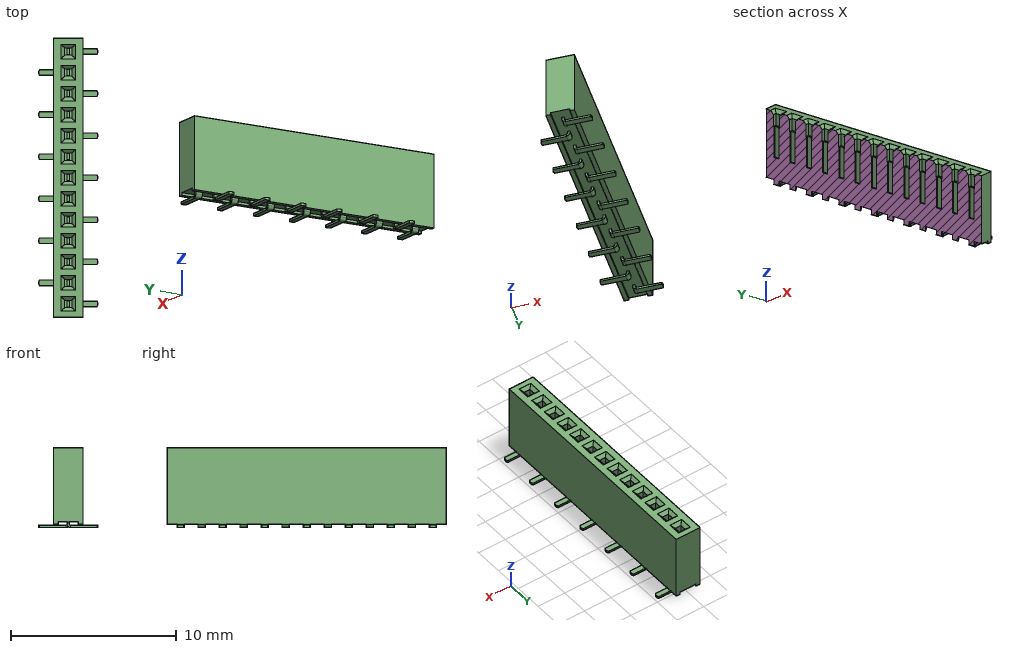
import cadquery as cq
import math

pin_count = 13
pitch = 1.27

tail_span = 3.58
body_length = 16.86
total_height = 4.83

body_width = 1.8
body_bottom = 0.2
channel_width = 1.2
channel_height = 0.16
channel_top = body_bottom + channel_height

socket_mouth = 0.87
socket_size = 0.43
funnel_depth = (socket_mouth - socket_size) / 2
tine_depth = 1.0
slot_depth = 3.0

sheet = 0.15
slot_width = socket_size - 2 * sheet
slot_length = 0.36
stem_width = 0.45
stem_overlap = 0.2
tail_width = 0.35
bend_inner_radius = sheet / 2
bend_outer_radius = bend_inner_radius + sheet
tip_bulge = 0.05


def pin_y(index):
    """Y position of a pin, counted from the -Y end."""
    return (index - (pin_count - 1) / 2) * pitch


def make_housing():
    """Rectangular block with a shallow channel along its underside."""
    block = cq.Workplane("XY", origin=(0, 0, body_bottom)).box(
        body_width, body_length, total_height - body_bottom, centered=(True, True, False)
    )
    channel = cq.Workplane("XY", origin=(0, 0, body_bottom)).box(
        channel_width, body_length, channel_height, centered=(True, True, False)
    )
    return block.cut(channel)


def make_socket(y):
    """Volume removed for one socket: funnel, square well and slot between the tines."""
    top = cq.Workplane("XY", origin=(0, y, total_height))
    funnel = (
        top.rect(socket_mouth, socket_mouth)
        .workplane(offset=-funnel_depth)
        .rect(socket_size, socket_size)
        .loft(ruled=True)
    )
    well = top.rect(socket_size, socket_size).extrude(-tine_depth)
    slot = top.rect(slot_width, slot_length).extrude(-slot_depth)
    return funnel.union(well).union(slot)


def make_contact(y, side):
    """Bent strip: vertical stem, bend and flat tail; side is +1 for +X, -1 for -X."""
    inner_face = sheet / 2
    bend_center_x = inner_face + bend_inner_radius
    bend_cos = math.sqrt(0.5)
    inner_mid = bend_inner_radius * bend_cos
    outer_mid = bend_outer_radius * bend_cos
    stem_top = channel_top + stem_overlap
    tip_x = tail_span / 2

    stem = (
        cq.Workplane("XZ", origin=(0, y + stem_width / 2, 0))
        .moveTo(-side * inner_face, stem_top)
        .lineTo(-side * inner_face, bend_outer_radius)
        .threePointArc(
            (side * (bend_center_x - outer_mid), bend_outer_radius - outer_mid),
            (side * bend_center_x, 0),
        )
        .lineTo(side * bend_center_x, sheet)
        .threePointArc(
            (side * (bend_center_x - inner_mid), bend_outer_radius - inner_mid),
            (side * inner_face, bend_outer_radius),
        )
        .lineTo(side * inner_face, stem_top)
        .close()
        .extrude(stem_width)
    )
    tail = (
        cq.Workplane("XY", origin=(0, y, 0))
        .moveTo(side * bend_center_x, -tail_width / 2)
        .lineTo(side * (tip_x - tip_bulge), -tail_width / 2)
        .threePointArc((side * tip_x, 0), (side * (tip_x - tip_bulge), tail_width / 2))
        .lineTo(side * bend_center_x, tail_width / 2)
        .close()
        .extrude(sheet)
    )
    return stem.union(tail)


result = make_housing()
for index in range(pin_count):
    tail_side = 1 if index % 2 == 0 else -1
    result = result.cut(make_socket(pin_y(index)))
    result = result.union(make_contact(pin_y(index), tail_side))